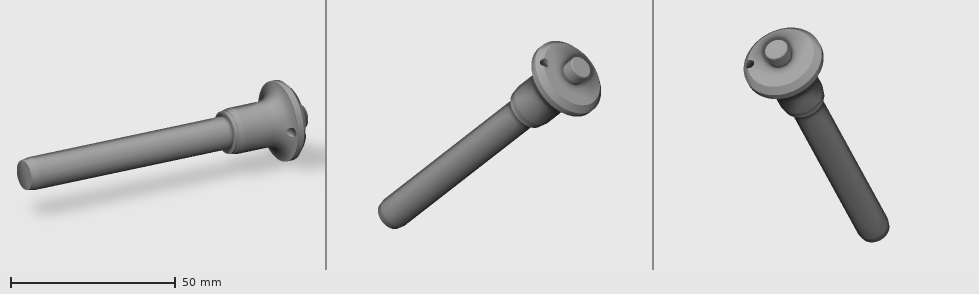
import cadquery as cq
import math

total_length = 97.3
button_end_y = total_length / 2
tip_y = -total_length / 2

button_radius = 3.65
button_height = 4.8
button_chamfer = 0.3

flange_radius = 12.5
flange_chamfer = 1.85
flange_rim_height = 2.0

body_radius = 7.15
body_length = 10.3
flare_radius = flange_radius - body_radius

taper_end_radius = 6.8
taper_length = 1.8
collar_radius = 6.6
collar_length = 1.2

shank_radius = 5.11
tip_radius = 4.62
tip_length = 2.4

lanyard_hole_radius = 1.51
lanyard_hole_x = 10.0

ball_radius = 3.1
ball_protrusion = 0.08
ball_from_tip = 9.1

flange_top_y = button_end_y - button_height
rim_top_y = flange_top_y - flange_chamfer
rim_bottom_y = rim_top_y - flange_rim_height
body_top_y = rim_bottom_y - flare_radius
body_bottom_y = body_top_y - body_length
collar_top_y = body_bottom_y - taper_length
collar_bottom_y = collar_top_y - collar_length


def make_pin():
    """Revolve the half outline of button, handle and shank about Y."""
    arc_offset = flare_radius * math.cos(math.radians(45))
    flare_middle = (flange_radius - arc_offset, body_top_y + arc_offset)
    outline = (
        cq.Workplane("XY")
        .moveTo(0, button_end_y)
        .lineTo(button_radius - button_chamfer, button_end_y)
        .lineTo(button_radius, button_end_y - button_chamfer)
        .lineTo(button_radius, flange_top_y)
        .lineTo(flange_radius - flange_chamfer, flange_top_y)
        .lineTo(flange_radius, rim_top_y)
        .lineTo(flange_radius, rim_bottom_y)
        .threePointArc(flare_middle, (body_radius, body_top_y))
        .lineTo(body_radius, body_bottom_y)
        .lineTo(taper_end_radius, collar_top_y)
        .lineTo(collar_radius, collar_top_y)
        .lineTo(collar_radius, collar_bottom_y)
        .lineTo(shank_radius, collar_bottom_y)
        .lineTo(shank_radius, tip_y + tip_length)
        .lineTo(tip_radius, tip_y)
        .lineTo(0, tip_y)
        .close()
    )
    return outline.revolve(360, (0, 0, 0), (0, 1, 0))


def make_lanyard_hole():
    """Cylinder parallel to the pin axis, spanning flange and flare."""
    return (
        cq.Workplane("XZ", origin=(lanyard_hole_x, flange_top_y, 0))
        .circle(lanyard_hole_radius)
        .extrude(flange_top_y - body_top_y)
    )


def make_ball(side):
    """Locking ball on the given side of the shank (-1 or +1 along X)."""
    center_x = side * (shank_radius + ball_protrusion - ball_radius)
    return cq.Workplane("XY").sphere(ball_radius).translate((center_x, tip_y + ball_from_tip, 0))


result = make_pin().cut(make_lanyard_hole())
for side in (-1, 1):
    result = result.union(make_ball(side))